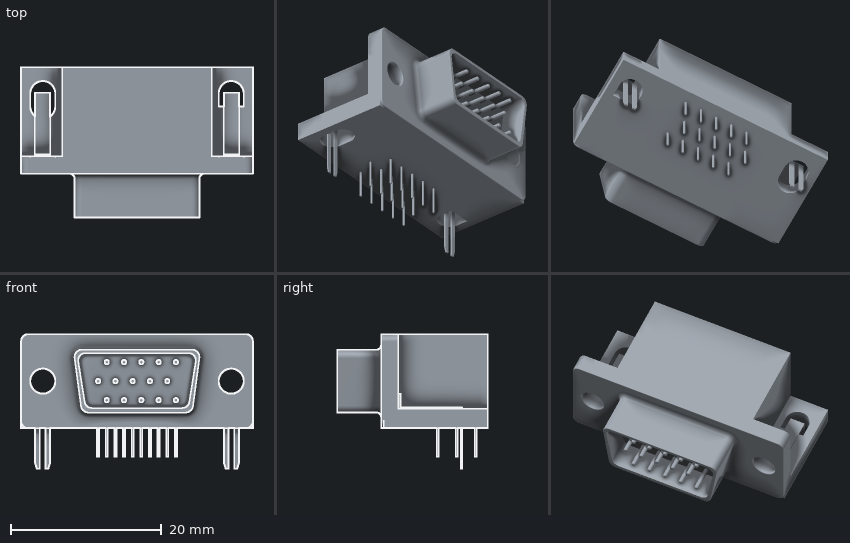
import cadquery as cq
import math


width = 30.8
height = 12.5
housing_depth = 14.17
flange_depth = 2.3
base_height = 2.6
body_width = 19.85
corner_radius = 1.0
axis_z = height / 2

plate_thickness = 0.35
edge_round = 0.108

mount_x = 12.5
mount_diameter = 3.3
slot_front_y = 8.95
slot_back_y = 10.65

shell_length = 5.82
shell_top_half_width = 8.45
shell_height = 8.35
shell_top_z = axis_z + shell_height / 2
shell_bottom_z = axis_z - shell_height / 2
shell_taper = 7.7
shell_radius = 1.0
shell_root_fillet = 0.62
shell_edge_round = 0.05

cavity_top_half_width = 7.98
cavity_top_z = 9.98
cavity_bottom_z = 2.68
cavity_taper = 9.0
cavity_floor_y = -2.15

columns = 5
column_span = 9.18
column_pitch = column_span / (columns - 1)
row_pitch = 2.53
row_shift = column_pitch / 4
pin_diameter = 0.6
pin_length = 3.4
pin_tip_round = 0.2
tail_diameter = 0.3
tail_length = 3.82
tail_chamfer = 0.05
middle_tail_y = 10.05
contact_embed = 0.3

lock_x = 12.55
lock_width = 2.03
lock_thickness = 0.22
lock_clearance = 0.05
lock_top = base_height + 0.2
lock_back_y = 10.78
lock_leg_top = 4.6
lock_length_below = 5.4
lock_bend_radius = 0.12
tine_gap = 0.75
tine_taper_width = 0.25
tine_taper_height = 0.8


def block(x_center, x_size, y_range, z_range):
    """Box centred on x_center that spans the given Y and Z ranges."""
    y_size = y_range[1] - y_range[0]
    z_size = z_range[1] - z_range[0]
    solid = cq.Workplane("XY").box(x_size, y_size, z_size, centered=(True, False, False))
    return solid.translate((x_center, y_range[0], z_range[0]))


def make_housing():
    flange = block(0, width, (plate_thickness, flange_depth), (0, height))
    flange = flange.edges("|Y and >Z").fillet(corner_radius)
    base = block(0, width, (flange_depth, housing_depth), (0, base_height))
    body = block(0, body_width, (flange_depth, housing_depth), (0, height))
    return flange.union(base).union(body)


def make_mount_holes():
    """Cutters for the holes through the whole flange."""
    hole = cq.Workplane("XZ", origin=(0, flange_depth, axis_z)).pushPoints([(-mount_x, 0), (mount_x, 0)])
    return hole.circle(mount_diameter / 2).extrude(flange_depth)


def make_plate():
    """Plate with its outline and the mounting holes rounded at the front edge."""
    plate = block(0, width, (0, plate_thickness), (0, height))
    plate = plate.edges("|Y").fillet(corner_radius).cut(make_mount_holes())
    return plate.faces("<Y").edges().fillet(edge_round)


def rounded_trapezoid(top_half_width, z_range, taper, y_back):
    """Prism from y_back to the front of the shell, narrowing downward, with rounded corners."""
    bottom_z, top_z = z_range
    bottom_half_width = top_half_width - (top_z - bottom_z) * math.tan(math.radians(taper))
    corners = [
        (-top_half_width, top_z),
        (top_half_width, top_z),
        (bottom_half_width, bottom_z),
        (-bottom_half_width, bottom_z),
    ]
    prism = cq.Workplane("XZ", origin=(0, y_back, 0)).polyline(corners).close().extrude(y_back + shell_length)
    return prism.edges("|Y").fillet(shell_radius)


def make_front():
    """Plate and shell, joined by a fillet around the root of the shell."""
    z_range = (shell_bottom_z, shell_top_z)
    shell = rounded_trapezoid(shell_top_half_width, z_range, shell_taper, plate_thickness)
    shell = shell.faces("<Y").edges().fillet(shell_edge_round)
    front = make_plate().union(shell)
    root_zone = cq.selectors.BoxSelector(
        (-shell_top_half_width, -plate_thickness / 2, shell_bottom_z - shell_root_fillet),
        (shell_top_half_width, plate_thickness / 2, shell_top_z + shell_root_fillet),
    )
    return front.edges(root_zone).fillet(shell_root_fillet)


def make_cavity():
    """Cutter that leaves a floor for the contacts and opens at the front of the shell."""
    z_range = (cavity_bottom_z, cavity_top_z)
    return rounded_trapezoid(cavity_top_half_width, z_range, cavity_taper, cavity_floor_y)


def make_slots():
    """Cutters for the base slots: the left one is round at both ends, the right one at the back only."""
    straights = cq.Workplane("XY")
    for x in (-mount_x, mount_x):
        straights = straights.union(block(x, mount_diameter, (slot_front_y, slot_back_y), (0, base_height)))
    end_centers = [(-mount_x, slot_back_y), (mount_x, slot_back_y), (-mount_x, slot_front_y)]
    ends = cq.Workplane("XY").pushPoints(end_centers).circle(mount_diameter / 2).extrude(base_height)
    return straights.union(ends)


def make_contacts():
    """Three rows of pins in front, each pin with a tail below the housing."""
    pin = cq.Workplane("XZ").circle(pin_diameter / 2).extrude(pin_length + contact_embed)
    pin = pin.faces("<Y").edges().fillet(pin_tip_round)
    tail = cq.Workplane("XY").circle(tail_diameter / 2).extrude(-tail_length - contact_embed)
    tail = tail.faces("<Z").edges().chamfer(tail_chamfer)
    contacts = []
    for row in (-1, 0, 1):
        shift = -row_shift if row == 0 else row_shift
        for column in range(columns):
            x = shift + (column - (columns - 1) / 2) * column_pitch
            contacts.append(pin.translate((x, cavity_floor_y + contact_embed, axis_z + row * row_pitch)))
            contacts.append(tail.translate((x, middle_tail_y + row * row_pitch, contact_embed)))
    return contacts


def make_board_lock(x):
    """Bent strip: a leg behind the flange, a run along the base and a forked tail through the slot."""
    leg_front_y = flange_depth + lock_clearance
    strip_bottom_z = lock_top - lock_thickness
    tail_y = (lock_back_y - lock_thickness, lock_back_y)
    leg = block(x, lock_width, (leg_front_y, leg_front_y + lock_thickness), (strip_bottom_z, lock_leg_top))
    strip = block(x, lock_width, (leg_front_y, lock_back_y), (strip_bottom_z, lock_top))
    tail = block(x, lock_width, tail_y, (-lock_length_below, lock_top))
    tail = tail.faces("<Z").edges("|Y").chamfer(tine_taper_height, tine_taper_width)
    bend = strip.union(tail).edges("|X and >Z and >Y").fillet(lock_bend_radius)
    gap = block(x, tine_gap, tail_y, (-lock_length_below, strip_bottom_z))
    return bend.cut(gap).union(leg)


result = make_front().union(make_housing())
result = result.cut(make_mount_holes()).cut(make_slots()).cut(make_cavity())
for contact in make_contacts():
    result = result.union(contact)
for side in (-1, 1):
    result = result.union(make_board_lock(side * lock_x))